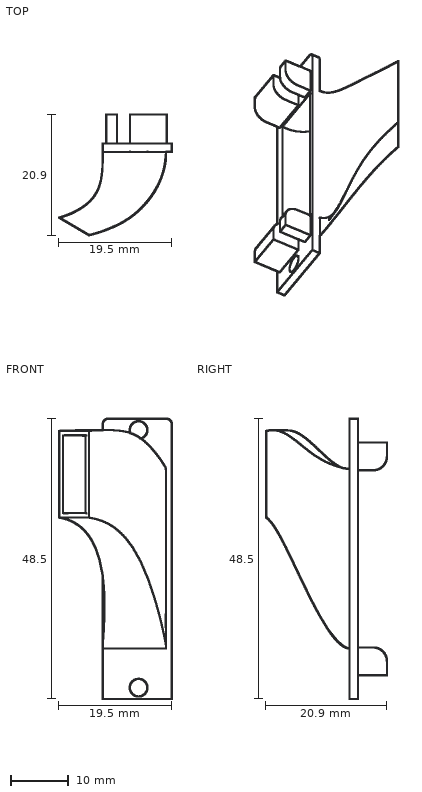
import cadquery as cq
import math

plate_width = 12.0
plate_thickness = 1.5
plate_height = 48.5
corner_radius = 1.0

hole_diameter = 3.0
hole_x = 6.2
hole_edge_distance = 2.0

post_length = 5.0
post_height = 4.85
post_edge_distance = 4.1
post_radius = 2.42
post_spans = [(0.6, 2.5), (4.7, 11.1)]

wall = 0.8
duct_width = 10.95
base_bottom = 8.75
base_top = 39.75
outlet_left = (-7.5, -11.35)
outlet_right = (-2.35, -14.4)
outlet_bottom = 31.4
outlet_top = 46.35

bottom_left = [
    (0, 0, base_bottom),
    (-0.1, -5.15, 9.65),
    (1.85, -5.55, 23.55),
    (-0.82, -9.65, 30.2),
    (*outlet_left, outlet_bottom),
]
bottom_right = [
    (duct_width, 0, base_bottom),
    (11.25, -4.0, 9.05),
    (8.35, -8.8, 21.8),
    (5.9, -12.25, 30.15),
    (*outlet_right, outlet_bottom),
]
top_right = [
    (duct_width, 0, base_top),
    (10.75, -7.28, 40.8),
    (6.5, -8.9, 45.85),
    (6.6, -12.05, 47.0),
    (*outlet_right, outlet_top),
]
top_left = [
    (0, 0, base_top),
    (-0.05, -3.35, 39.55),
    (0.05, -6.55, 45.55),
    (-1.2, -9.4, 46.95),
    (*outlet_left, outlet_top),
]

outlet_run = outlet_right[0] - outlet_left[0]
outlet_rise = outlet_right[1] - outlet_left[1]
outlet_width = math.hypot(outlet_run, outlet_rise)
end_dx = wall * outlet_run / outlet_width
end_dy = wall * outlet_rise / outlet_width

left_insets = [(wall, 0), (0.8, -0.25), (0.75, -0.5), (0.7, -0.75), (end_dx, end_dy)]
right_insets = [(-wall, 0), (-0.8, 0.25), (-0.75, 0.5), (-0.7, 0.75), (-end_dx, -end_dy)]
bottom_insets = [wall, 1.55, 2.2, 1.25, wall]
top_insets = [-wall, -0.95, -1.15, -0.85, -wall]


def inset_corner(points, side_insets, height_insets):
    """Return the control points of a bore corner edge."""
    inset_points = []
    for (x, y, z), (dx, dy), dz in zip(points, side_insets, height_insets):
        inset_points.append((x + dx, y + dy, z + dz))
    return inset_points


def curved_channel(corner_edges):
    """Return a solid with four ruled sides between its corner edges and flat ends."""
    rails = []
    for points in corner_edges:
        rails.append(cq.Edge.makeBezier([cq.Vector(*point) for point in points]))
    faces = []
    for edge, next_edge in zip(rails, rails[1:] + rails[:1]):
        faces.append(cq.Face.makeRuledSurface(edge, next_edge))
    for end in (0, 1):
        corners = [edge.positionAt(end) for edge in rails]
        faces.append(cq.Face.makeFromWires(cq.Wire.makePolygon(corners, close=True)))
    return cq.Workplane(cq.Solid.makeSolid(cq.Shell.makeShell(faces)).fix())


def make_plate():
    plate = cq.Workplane().box(plate_width, plate_thickness, plate_height, centered=False)
    return plate.edges("|Y and >Z").fillet(corner_radius)


def make_post(x_left, x_right):
    """Return an upper post, rounded at its lower rear edge."""
    post = cq.Workplane().box(x_right - x_left, post_length, post_height, centered=False)
    post = post.edges(">Y and <Z").fillet(post_radius)
    post_bottom = plate_height - post_edge_distance - post_height
    return post.translate((x_left, plate_thickness, post_bottom))


def screw_hole(z):
    hole = cq.Workplane("XZ").center(hole_x, z).circle(hole_diameter / 2)
    return hole.extrude(-plate_thickness)


def plate_opening():
    """Return the straight part of the bore, through the plate."""
    opening_width = duct_width - 2 * wall
    opening_height = base_top - base_bottom - 2 * wall
    opening = cq.Workplane().box(opening_width, plate_thickness, opening_height, centered=False)
    return opening.translate((wall, 0, base_bottom + wall))


duct = curved_channel([bottom_left, bottom_right, top_right, top_left])
bore = curved_channel([
    inset_corner(bottom_left, left_insets, bottom_insets),
    inset_corner(bottom_right, right_insets, bottom_insets),
    inset_corner(top_right, right_insets, top_insets),
    inset_corner(top_left, left_insets, top_insets),
])

result = make_plate()
for z in (hole_edge_distance, plate_height - hole_edge_distance):
    result = result.cut(screw_hole(z))
result = result.union(duct.cut(bore)).cut(plate_opening())

mid_height = (0, 0, plate_height / 2)
for x_left, x_right in post_spans:
    upper_post = make_post(x_left, x_right)
    lower_post = upper_post.mirror("XY", mid_height)
    result = result.union(upper_post).union(lower_post)

result = result.solids()